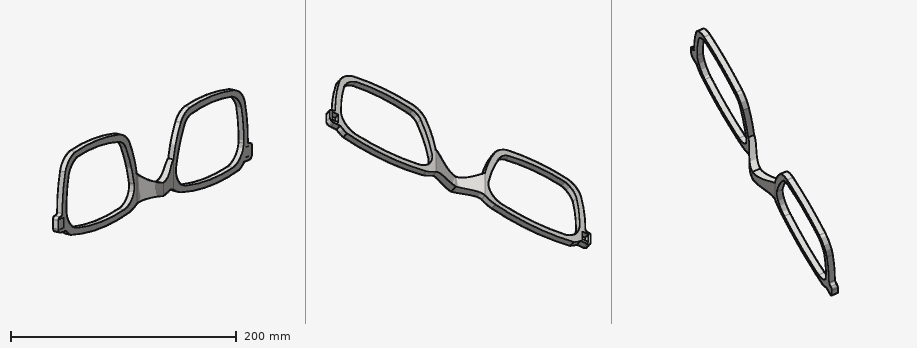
import cadquery as cq


HALF_WIDTH = 139.43
HEIGHT = 83.12
TOTAL_DEPTH = 14.89

RIM_THICKNESS = 6.0
BRIDGE_THICKNESS = 7.75
BRIDGE_FRONT = TOTAL_DEPTH - BRIDGE_THICKNESS

RAMP_START = 26.2
FRONT_RIM_PULL = 19.4
FRONT_BRIDGE_PULL = 10.8
BACK_RIM_PULL = 20.7
BACK_BRIDGE_PULL = 11.5

SHEET_MARGIN = 1.0

BRIDGE_TOP_CENTER = (0, 24.3)
BRIDGE_TOP_MIDDLE = (14.5, 29.9)
BRIDGE_TOP_END = (RAMP_START, 37.9)
BRIDGE_BOTTOM_END = (RAMP_START, 9.8)
BRIDGE_BOTTOM_MIDDLE = (15.0, 12.85)
BRIDGE_BOTTOM_CENTER = (0, 11.9)

TAB_TOP = 25.3
TAB_BOTTOM = 10.1
TAB_TOP_RADIUS = 2.6
TAB_BOTTOM_RADIUS = 4.5
TAB_NECK_TOP = (133.6, 27.7)
TAB_NECK_MIDDLE = (134.4, 26.0)
TAB_NECK_END = (136.4, TAB_TOP)
TAB_ROOT = (128.4, TAB_BOTTOM)

POCKET_WIDTH = 6.2
POCKET_HEIGHT = 9.5
POCKET_CENTER = (133.5, 18.1)
POCKET_DEPTH = 5.0


def half_outline():
    """Outer outline of the +Y half, closed along the symmetry plane."""
    outline = cq.Workplane("YZ").moveTo(*BRIDGE_TOP_CENTER)
    outline = outline.threePointArc(BRIDGE_TOP_MIDDLE, BRIDGE_TOP_END)
    outline = outline.threePointArc((30.6, 54.7), (36.8, 69.7))
    outline = outline.threePointArc((42.1, 76.0), (50.4, 80.3))
    outline = outline.threePointArc((82.15, HEIGHT), (113.9, 80.3))
    outline = outline.threePointArc((123.9, 74.6), (129.2, 65.3))
    outline = outline.threePointArc((132.6, 46.5), TAB_NECK_TOP)
    outline = outline.threePointArc(TAB_NECK_MIDDLE, TAB_NECK_END)
    outline = outline.lineTo(HALF_WIDTH - TAB_TOP_RADIUS, TAB_TOP)
    outline = outline.radiusArc((HALF_WIDTH, TAB_TOP - TAB_TOP_RADIUS), TAB_TOP_RADIUS)
    outline = outline.lineTo(HALF_WIDTH, TAB_BOTTOM + TAB_BOTTOM_RADIUS)
    outline = outline.radiusArc((HALF_WIDTH - TAB_BOTTOM_RADIUS, TAB_BOTTOM), TAB_BOTTOM_RADIUS)
    outline = outline.lineTo(*TAB_ROOT)
    outline = outline.threePointArc((125.2, 7.2), (121.2, 4.5))
    outline = outline.threePointArc((79.1, 0), (37.0, 4.5))
    outline = outline.threePointArc((32.0, 6.4), BRIDGE_BOTTOM_END)
    outline = outline.threePointArc(BRIDGE_BOTTOM_MIDDLE, BRIDGE_BOTTOM_CENTER)
    return outline.close()


def lens_opening():
    """Opening for the +Y lens, cut right through the rim."""
    opening = cq.Workplane("YZ").moveTo(50.9, 73.5)
    opening = opening.threePointArc((82.0, 77.2), (111.6, 74.9))
    opening = opening.threePointArc((119.1, 69.9), (123.9, 62.1))
    opening = opening.threePointArc((126.7, 45.0), (127.35, 27.8))
    opening = opening.threePointArc((123.1, 16.4), (112.4, 8.9))
    opening = opening.threePointArc((78.5, 5.9), (44.8, 8.9))
    opening = opening.threePointArc((34.3, 15.0), (30.3, 29.5))
    opening = opening.threePointArc((35.1, 48.3), (42.5, 66.5))
    opening = opening.threePointArc((45.9, 70.7), (50.9, 73.5))
    return opening.close().extrude(TOTAL_DEPTH)


def bent_sheet():
    """+Y half of the frame's profile along Z: flat rim and a bridge set back by an S-curve."""
    front_curve = [
        (0, RAMP_START),
        (0, FRONT_RIM_PULL),
        (BRIDGE_FRONT, FRONT_BRIDGE_PULL),
        (BRIDGE_FRONT, 0),
    ]
    back_curve = [
        (TOTAL_DEPTH, 0),
        (TOTAL_DEPTH, BACK_BRIDGE_PULL),
        (RIM_THICKNESS, BACK_RIM_PULL),
        (RIM_THICKNESS, RAMP_START),
    ]
    sheet_end = HALF_WIDTH + SHEET_MARGIN
    return (
        cq.Workplane("XY", origin=(0, 0, -SHEET_MARGIN))
        .moveTo(0, sheet_end)
        .lineTo(*front_curve[0])
        .bezier(front_curve)
        .lineTo(*back_curve[0])
        .bezier(back_curve)
        .lineTo(RIM_THICKNESS, sheet_end)
        .close()
        .extrude(HEIGHT + 2 * SHEET_MARGIN)
    )


def hinge_pocket():
    """Rectangular pocket for the +Y hinge."""
    return (
        cq.Workplane("YZ")
        .center(*POCKET_CENTER)
        .rect(POCKET_WIDTH, POCKET_HEIGHT)
        .extrude(POCKET_DEPTH)
    )


def both_sides(half):
    """Join a +Y shape with its mirror image across Y = 0."""
    return half.union(half.mirror("XZ"))


half_frame = half_outline().extrude(TOTAL_DEPTH).intersect(bent_sheet())
half_frame = half_frame.cut(lens_opening()).cut(hinge_pocket())
result = both_sides(half_frame)